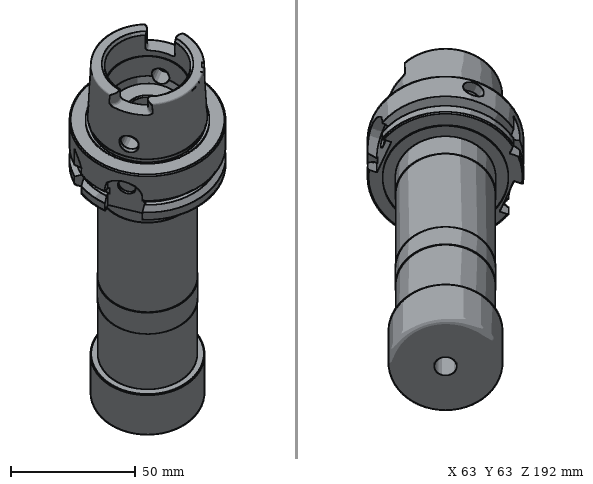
import cadquery as cq
TOTAL_LENGTH = 192
SHANK_LENGTH = 32.0
FLANGE_TOP = TOTAL_LENGTH - SHANK_LENGTH
FLANGE_THICKNESS = 26.1
FLANGE_BOTTOM = FLANGE_TOP - FLANGE_THICKNESS

SHANK_BASE_DIA = 48.2
SHANK_TOP_DIA = 45.7
SHANK_EDGE_FILLET = 1.0
NECK_HEIGHT = 1.7
NECK_CHAMFER = 0.5
NECK_DIA = SHANK_BASE_DIA - 2 * NECK_CHAMFER
RELIEF_DIA = 50
RELIEF_DEPTH = 0.5

FLANGE_DIA = 63.0
FLANGE_CHAMFER = 0.5
BACK_FACE_DIA = 50.7
BACK_FACE_HEIGHT = 0.5
GROOVE_DIA = 55.0
GROOVE_UPPER_MOUTH = FLANGE_TOP - 14.5
GROOVE_UPPER_FLOOR = FLANGE_TOP - 16.3
GROOVE_LOWER_SIDE = FLANGE_TOP - 19.4
GROOVE_LOWER_MOUTH = FLANGE_TOP - 21.3
GROOVE_SHOULDER_DIA = 58.4

COLLAR_DIA = 40.5
COLLAR_BOTTOM = 121.2
BODY_DIA = 40.1
BAND_DIA = 40.5
BAND_TOP = 69.7
BAND_BOTTOM = 56.6
BAND_CHAMFER = 0.4

NUT_DIA = 46
NUT_HEIGHT = 25
NUT_TOP_CHAMFER = 0.4
NUT_FILLET = 3.0

MOUTH_DIA = 36.9
ENTRY_DIA = 34.5
BORE_DIA = 34.0
MOUTH_CHAMFER = (MOUTH_DIA - ENTRY_DIA) / 2
ENTRY_DEPTH = 13.0
BORE_STRAIGHT_DEPTH = 24.4
BORE_FLOOR_DIA = 31.1
BORE_FLOOR_DEPTH = 27.3
COUNTERBORE_DIA = 16.9
COUNTERBORE_CHAMFER = 0.5
COUNTERBORE_DEPTH = 7.7
THROUGH_DIA = 9.0

DRIVE_WIDTH = 12.5
DRIVE_FLARE_RADIUS = 3.5
DRIVE_FLARE_START = 17.7
DRIVE_FLOOR_FILLET = 1.5
SHALLOW_DRIVE_DEPTH = 6.0
DEEP_DRIVE_DEPTH = 10.0

SHANK_HOLE_DIA = 7.5
SHANK_HOLE_MOUTH_DIA = 9.2
SHANK_HOLE_Z = FLANGE_TOP + 9.0
SHANK_HOLE_SINK_DEPTH = 1.3

KEYWAY_WIDTH = 16.0
KEYWAY_FLOOR = 26.5
KEYWAY_ARC_Z = FLANGE_TOP - 13.0
KEYWAY_HOLE_DIA = 7.5
KEYWAY_HOLE_DEPTH = 1.2

NOTCH_OFFSET = 20.0
NOTCH_CUTTER_DIA = 14.0
NOTCH_ARC_Z = FLANGE_TOP - 12.0

CHIP_DIA = 9.0
CHIP_DEPTH = 4.5
CHIP_Z = FLANGE_TOP - 6.5


def cone(bottom_dia, top_dia, bottom_z, top_z):
    """Round frustum on the tool axis; equal diameters give a cylinder."""
    return (
        cq.Workplane("XZ")
        .moveTo(0, bottom_z)
        .lineTo(bottom_dia / 2, bottom_z)
        .lineTo(top_dia / 2, top_z)
        .lineTo(0, top_z)
        .close()
        .revolve(360, (0, 0), (0, 1))
    )


def cylinder(dia, bottom_z, top_z):
    return cone(dia, dia, bottom_z, top_z)


def make_shank():
    taper_start = FLANGE_TOP + NECK_HEIGHT
    neck = cylinder(NECK_DIA, FLANGE_TOP - RELIEF_DEPTH, taper_start)
    chamfer = cone(NECK_DIA, SHANK_BASE_DIA, taper_start - NECK_CHAMFER, taper_start)
    taper = cone(SHANK_BASE_DIA, SHANK_TOP_DIA, taper_start, TOTAL_LENGTH)
    return neck.union(chamfer).union(taper.faces(">Z").edges().fillet(SHANK_EDGE_FILLET))


def make_groove_cutter():
    inner = GROOVE_DIA / 2
    outer = FLANGE_DIA / 2
    return (
        cq.Workplane("XZ")
        .polyline([
            (inner, GROOVE_LOWER_SIDE),
            (GROOVE_SHOULDER_DIA / 2, GROOVE_LOWER_SIDE),
            (outer, GROOVE_LOWER_MOUTH),
            (outer, GROOVE_UPPER_MOUTH),
            (inner, GROOVE_UPPER_FLOOR),
        ])
        .close()
        .revolve(360, (0, 0), (0, 1))
    )


def make_keyway(side):
    """Round-topped slot open at the flange bottom; side is -1 for -Y, +1 for +Y."""
    depth = FLANGE_DIA / 2 - KEYWAY_FLOOR
    straight = KEYWAY_ARC_Z - FLANGE_BOTTOM
    middle_y = side * (KEYWAY_FLOOR + depth / 2)
    slot = (
        cq.Workplane("XY")
        .box(KEYWAY_WIDTH, depth, straight, centered=(True, True, False))
        .translate((0, middle_y, FLANGE_BOTTOM))
    )
    arc_top = (
        cq.Workplane("XZ", origin=(0, middle_y, KEYWAY_ARC_Z))
        .circle(KEYWAY_WIDTH / 2)
        .extrude(depth / 2, both=True)
    )
    floor_hole = (
        cq.Workplane("XZ", origin=(0, side * KEYWAY_FLOOR, KEYWAY_ARC_Z))
        .circle(KEYWAY_HOLE_DIA / 2)
        .extrude(KEYWAY_HOLE_DEPTH, both=True)
    )
    return slot.union(arc_top).union(floor_hole)


def make_notch_cutter():
    """Square-cornered notch whose upper end is rounded by a cutter running along Y."""
    radius = NOTCH_CUTTER_DIA / 2
    reach = FLANGE_DIA / 2
    return (
        cq.Workplane("XZ", origin=(0, -NOTCH_OFFSET, 0))
        .moveTo(-NOTCH_OFFSET, FLANGE_BOTTOM)
        .lineTo(-NOTCH_OFFSET, NOTCH_ARC_Z)
        .radiusArc((-NOTCH_OFFSET - radius, NOTCH_ARC_Z + radius), -radius)
        .lineTo(-reach, NOTCH_ARC_Z + radius)
        .lineTo(-reach, FLANGE_BOTTOM)
        .close()
        .extrude(reach - NOTCH_OFFSET)
    )


def make_chip_pocket():
    return (
        cq.Workplane("YZ", origin=(-FLANGE_DIA / 2, 0, CHIP_Z))
        .circle(CHIP_DIA / 2)
        .extrude(CHIP_DEPTH)
    )


def make_flange():
    flange = cylinder(FLANGE_DIA, FLANGE_BOTTOM, FLANGE_TOP).edges().chamfer(FLANGE_CHAMFER)
    relief = cylinder(RELIEF_DIA, FLANGE_TOP - RELIEF_DEPTH, FLANGE_TOP)
    flange = flange.cut(relief).cut(make_groove_cutter())
    for side in (-1, 1):
        flange = flange.cut(make_keyway(side))
    return flange.cut(make_notch_cutter()).cut(make_chip_pocket())


def make_body():
    back_face = cylinder(BACK_FACE_DIA, FLANGE_BOTTOM - BACK_FACE_HEIGHT, FLANGE_BOTTOM)
    collar = cylinder(COLLAR_DIA, COLLAR_BOTTOM, FLANGE_BOTTOM)
    tube = cylinder(BODY_DIA, NUT_HEIGHT, COLLAR_BOTTOM)
    band = cylinder(BAND_DIA, BAND_BOTTOM, BAND_TOP).edges().chamfer(BAND_CHAMFER)
    return tube.union(band).union(collar).union(back_face)


def make_bore():
    """Stepped bore: chamfered mouth, shallow step, tapered end, floor and coolant passage."""
    bore_radius = BORE_DIA / 2
    counterbore_radius = COUNTERBORE_DIA / 2
    entry_radius = ENTRY_DIA / 2
    entry_z = TOTAL_LENGTH - ENTRY_DEPTH
    floor_z = TOTAL_LENGTH - BORE_FLOOR_DEPTH
    counterbore_z = floor_z - COUNTERBORE_DEPTH
    return (
        cq.Workplane("XZ")
        .polyline([
            (0, TOTAL_LENGTH),
            (MOUTH_DIA / 2, TOTAL_LENGTH),
            (entry_radius, TOTAL_LENGTH - MOUTH_CHAMFER),
            (entry_radius, entry_z),
            (bore_radius, entry_z),
            (bore_radius, TOTAL_LENGTH - BORE_STRAIGHT_DEPTH),
            (BORE_FLOOR_DIA / 2, floor_z),
            (counterbore_radius + COUNTERBORE_CHAMFER, floor_z),
            (counterbore_radius, floor_z - COUNTERBORE_CHAMFER),
            (counterbore_radius, counterbore_z),
            (THROUGH_DIA / 2, counterbore_z),
            (THROUGH_DIA / 2, 0),
            (0, 0),
        ])
        .close()
        .revolve(360, (0, 0), (0, 1))
    )


def make_drive_slot(side, depth):
    """Slot with flared outer corners and a filleted floor; side is -1 for -Y, +1 for +Y."""
    half = DRIVE_WIDTH / 2
    flared_half = half + DRIVE_FLARE_RADIUS
    flare_end = DRIVE_FLARE_START + DRIVE_FLARE_RADIUS
    outside = SHANK_BASE_DIA / 2 + 2
    slot = (
        cq.Workplane("XY", origin=(0, 0, TOTAL_LENGTH - depth))
        .moveTo(-half, 0)
        .lineTo(-half, DRIVE_FLARE_START)
        .radiusArc((-flared_half, flare_end), -DRIVE_FLARE_RADIUS)
        .lineTo(-flared_half, outside)
        .lineTo(flared_half, outside)
        .lineTo(flared_half, flare_end)
        .radiusArc((half, DRIVE_FLARE_START), -DRIVE_FLARE_RADIUS)
        .lineTo(half, 0)
        .close()
        .extrude(depth)
        .faces("<Z")
        .edges()
        .fillet(DRIVE_FLOOR_FILLET)
    )
    if side < 0:
        return slot.rotate((0, 0, 0), (0, 0, 1), 180)
    return slot


def make_shank_hole():
    """Radial hole along Y through both shank walls, countersunk on the outside."""
    start_y = SHANK_BASE_DIA / 2
    hole = (
        cq.Workplane("XZ", origin=(0, 0, SHANK_HOLE_Z))
        .circle(SHANK_HOLE_DIA / 2)
        .extrude(start_y, both=True)
    )
    for side in (-1, 1):
        sink = cq.Solid.makeCone(
            SHANK_HOLE_MOUTH_DIA / 2,
            SHANK_HOLE_DIA / 2,
            SHANK_HOLE_SINK_DEPTH,
            pnt=cq.Vector(0, side * start_y, SHANK_HOLE_Z),
            dir=cq.Vector(0, -side, 0),
        )
        hole = hole.union(cq.Workplane(sink))
    return hole


def make_holder():
    holder = make_shank().union(make_flange()).union(make_body())
    holder = holder.cut(make_bore())
    holder = holder.cut(make_drive_slot(-1, SHALLOW_DRIVE_DEPTH))
    holder = holder.cut(make_drive_slot(1, DEEP_DRIVE_DEPTH))
    return holder.cut(make_shank_hole())


def make_nut():
    nut = cylinder(NUT_DIA, 0, NUT_HEIGHT)
    nut = nut.faces("<Z").edges().fillet(NUT_FILLET)
    nut = nut.faces(">Z").edges().chamfer(NUT_TOP_CHAMFER)
    return nut.cut(cylinder(THROUGH_DIA, 0, NUT_HEIGHT))


holder = make_holder()
nut = make_nut()
result = cq.Compound.makeCompound([holder.val(), nut.val()])